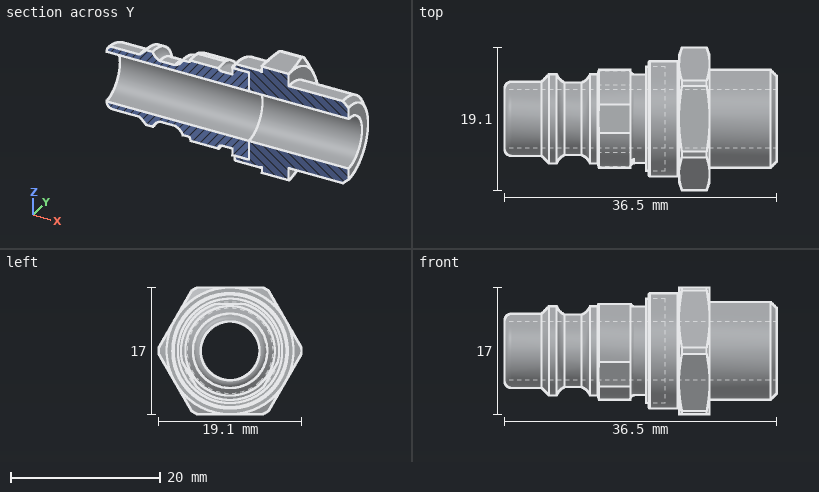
import cadquery as cq
import math

bore_radius = 7.85 / 2
total_length = 36.5

nose_radius = 10 / 2
nose_round = 1.0
bead_radius = 12 / 2
bead_ramp_start = 5.0
bead_start = bead_ramp_start + (bead_radius - nose_radius)
bead_end = 7.0
groove_radius = 9.75 / 2
groove_start = 8.05
groove_end = 10.35
groove_flank_radius = 2.0
shoulder_start = 11.5
spanner_lead_in = 12.5
spanner_start = 12.7
spanner_end = 16.9
spanner_radius = 13.16 / 2
flat_distance = 6.3
flat_count = 3
relief_radius = 11.9 / 2
relief_round = 0.5
flange_radius = 14 / 2
flange_start = 18.95
flange_end = 21.5

collar_start = 19.3
collar_radius = 15.5 / 2
collar_chamfer = 0.2
hex_start = 23.4
hex_end = 27.5
hex_across_flats = 17.0
hex_corner_radius = 19.15 / 2
hex_chamfer_angle = 20
stud_radius = 13.16 / 2
stud_chamfer = 0.85


def x_cylinder(start, end, radius):
    """Solid cylinder along X."""
    return cq.Workplane("YZ").workplane(offset=start).circle(radius).extrude(end - start)


def cut_spanner_flats(body):
    """Cut flats at equal angles on the spanner collar, the first one on top."""
    flats_end = spanner_end + relief_round
    for index in range(flat_count):
        cutter = (
            cq.Workplane("XY")
            .box(flats_end - bead_end, 2 * spanner_radius, spanner_radius, centered=(False, True, False))
            .translate((bead_end, 0, flat_distance))
            .rotate((0, 0, 0), (1, 0, 0), index * 360 / flat_count)
        )
        body = body.cut(cutter)
    return body


def make_plug():
    """Revolved plug body with its spanner flats and the through bore."""
    profile = (
        cq.Workplane("XY")
        .lineTo(0, nose_radius - nose_round)
        .radiusArc((nose_round, nose_radius), nose_round)
        .lineTo(bead_ramp_start, nose_radius)
        .lineTo(bead_start, bead_radius)
        .lineTo(bead_end, bead_radius)
        .radiusArc((groove_start, groove_radius), -groove_flank_radius)
        .lineTo(groove_end, groove_radius)
        .radiusArc((shoulder_start, bead_radius), -groove_flank_radius)
        .lineTo(spanner_lead_in, bead_radius)
        .lineTo(spanner_start, spanner_radius)
        .lineTo(spanner_end, spanner_radius)
        .lineTo(spanner_end, relief_radius + relief_round)
        .radiusArc((spanner_end + relief_round, relief_radius), -relief_round)
        .lineTo(flange_start, relief_radius)
        .lineTo(flange_start, flange_radius)
        .lineTo(flange_end, flange_radius)
        .lineTo(flange_end, 0)
        .close()
    )
    core = profile.revolve(360, (0, 0, 0), (1, 0, 0))
    return cut_spanner_flats(core).cut(x_cylinder(0, total_length, bore_radius))


def make_hexagon():
    """Hexagon with flats at top and bottom, its corners turned round and chamfered on both faces."""
    corner_distance = hex_across_flats / math.cos(math.pi / 6)
    hex_face = cq.Workplane("YZ").workplane(offset=hex_start)
    hexagon = hex_face.polygon(6, corner_distance).extrude(hex_end - hex_start)
    face_radius = hex_across_flats / 2
    chamfer_depth = (hex_corner_radius - face_radius) * math.tan(math.radians(hex_chamfer_angle))
    turned = (
        cq.Workplane("XY")
        .moveTo(hex_start, 0)
        .lineTo(hex_start, face_radius)
        .lineTo(hex_start + chamfer_depth, hex_corner_radius)
        .lineTo(hex_end - chamfer_depth, hex_corner_radius)
        .lineTo(hex_end, face_radius)
        .lineTo(hex_end, 0)
        .close()
        .revolve(360, (0, 0, 0), (1, 0, 0))
    )
    return hexagon.intersect(turned)


def make_adapter():
    """Collar, hexagon and stud in one piece, bored through and recessed for the plug flange."""
    collar = x_cylinder(collar_start, hex_start, collar_radius).edges().chamfer(collar_chamfer)
    stud = x_cylinder(hex_end, total_length, stud_radius).faces(">X").edges().chamfer(stud_chamfer)
    body = make_hexagon().union(collar).union(stud)
    recess = x_cylinder(collar_start, flange_end, flange_radius)
    return body.cut(recess).cut(x_cylinder(0, total_length, bore_radius))


plug = make_plug()
adapter = make_adapter()
result = cq.Compound.makeCompound([plug.val(), adapter.val()])